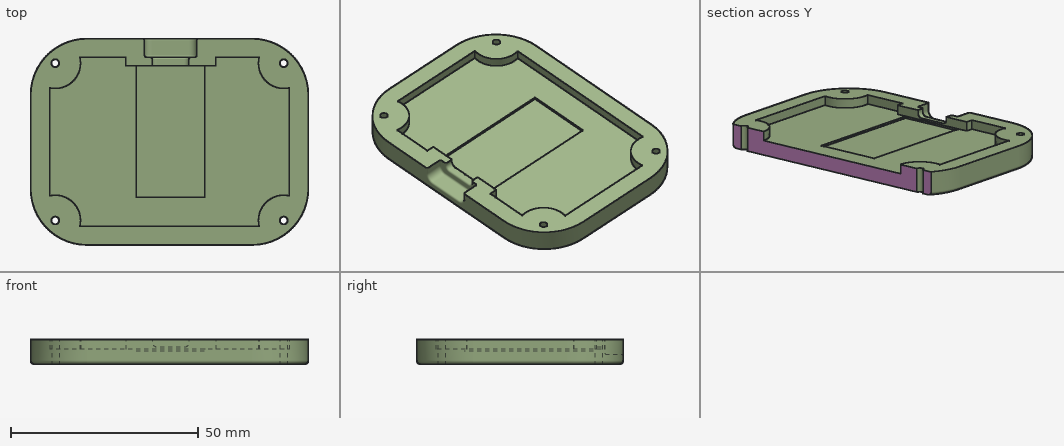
import cadquery as cq

length = 74.15
width = 55.1
height = 6.7
corner_radius = 15.05
bottom_fillet = 1.05

pocket_length = 63.9
pocket_width = 45.0
pocket_depth = 2.5
boss_radius = 6.75
screw_hole_diameter = 2.0
screw_spacing_x = 60.95
screw_spacing_y = 42.0

connector_x = 0.3
ledge_length = 24.0
ledge_face_y = 20.3
outer_slot_width = 13.95
outer_slot_length = 5.0
outer_slot_depth = 4.0
outer_slot_radius = 2.0
inner_slot_width = 9.8
inner_slot_depth = 2.0
inner_slot_radius = 1.25
slot_edge_fillet = 0.5

recess_length = 18.3
recess_width = 35.1
recess_depth = 0.5
recess_setback = 0.1

wall_y = width / 2
slot_end_y = wall_y - outer_slot_length
pocket_floor_z = height - pocket_depth
recess_start_y = ledge_face_y - recess_setback
recess_floor_z = pocket_floor_z - recess_depth


def block(size_x, y_min, y_max, z_min, z_max, center_x=0.0):
    """Box centred on center_x and spanning the given Y and Z ranges."""
    return cq.Workplane("XY").box(size_x, y_max - y_min, z_max - z_min, centered=(True, False, False)).translate(
        (center_x, y_min, z_min)
    )


def slot_cutter(slot_width, depth, radius, y_min, y_max):
    """Cutter with rounded lower edges, open at the top of the tray."""
    cutter = block(slot_width, y_min, y_max, height - depth, height + depth, connector_x)
    return cutter.edges("|Y and <Z").fillet(radius)


def slot_rim(slot_width, depth, y):
    """Selector for the edges of a slot mouth in the plane at the given Y."""
    margin = 0.1
    half_width = slot_width / 2 + margin
    return cq.selectors.BoxSelector(
        (connector_x - half_width, y - margin, height - depth - margin),
        (connector_x + half_width, y + margin, height - margin),
    )


def make_tray():
    tray = cq.Workplane("XY").box(length, width, height, centered=(True, True, False))
    tray = tray.edges("|Z").fillet(corner_radius)
    return tray.faces("<Z").edges().fillet(bottom_fillet)


def make_pocket():
    pocket = block(pocket_length, -pocket_width / 2, pocket_width / 2, pocket_floor_z, height)
    bosses = (
        cq.Workplane("XY")
        .rect(screw_spacing_x, screw_spacing_y, forConstruction=True)
        .vertices()
        .circle(boss_radius)
        .extrude(height)
    )
    ledge = block(ledge_length, ledge_face_y, wall_y, 0, height, connector_x)
    return pocket.cut(bosses).cut(ledge)


def make_outer_slot():
    slot = slot_cutter(outer_slot_width, outer_slot_depth, outer_slot_radius, slot_end_y, wall_y)
    return slot.faces("<Y").edges("not >Z").fillet(slot_edge_fillet)


result = make_tray().cut(make_pocket())
result = result.cut(
    block(recess_length, recess_start_y - recess_width, recess_start_y, recess_floor_z, height, connector_x)
)

result = result.cut(make_outer_slot())
result = result.cut(
    slot_cutter(inner_slot_width, inner_slot_depth, inner_slot_radius, ledge_face_y, slot_end_y)
)
result = result.edges(slot_rim(outer_slot_width, outer_slot_depth, wall_y)).fillet(slot_edge_fillet)
result = result.edges(slot_rim(inner_slot_width, inner_slot_depth, slot_end_y)).fillet(slot_edge_fillet)

result = (
    result.faces("<Z")
    .workplane(origin=(0, 0, 0))
    .rect(screw_spacing_x, screw_spacing_y, forConstruction=True)
    .vertices()
    .hole(screw_hole_diameter)
)